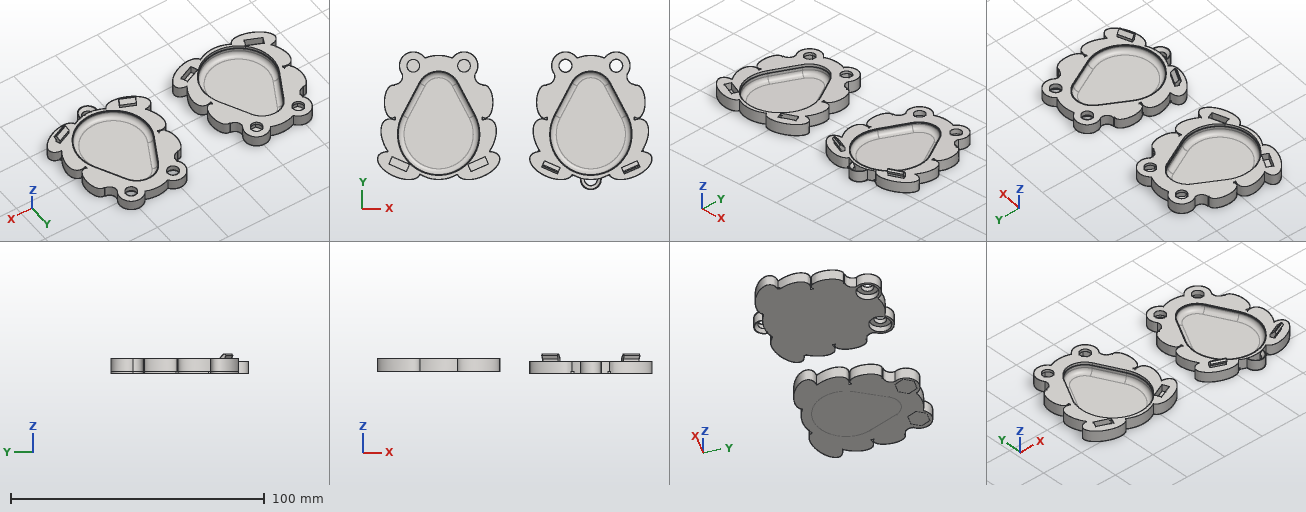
import cadquery as cq
import math

PLATE_SPACING = 60.0
CENTER_Y = -5.32
BASE_THICKNESS = 0.8
CLIP_SHELL_TOP = 4.8
SOCKET_SHELL_BOTTOM = BASE_THICKNESS
SOCKET_SHELL_TOP = 6.0
CLIP_TOP = 7.8

TORSO_RADIUS = 14.15
TORSO_TOP_Y = 17.0
TORSO_BOTTOM_Y = -3.75
FLANK_WIDTH = 34.4
FLANK_HEIGHT = 18.0
FLANK_Y = 8.0
EAR_X = 10.0
EAR_Y = 27.0
EAR_RADIUS = 5.5
NECK_X = 17.44
NECK_Y = 22.81
NECK_RADIUS = 3.16
NECK_BLOCK_DROP = 8.0
SHOULDER = (18.19, 12.86, 3.25, 6.5, 1.7)
HIP = (16.09, -2.86, 5.42, 9.76, -29.1)
FOOT = (15.67, -12.36, 9.0, 4.65, 23.6)

BASE_WEBS = (
    ((18.4, 6.2), (19.58, 6.87), (19.42, 6.06)),
    ((19.8, -6.9), (20.57, -5.94), (20.83, -6.87)),
    ((7.3, -15.6), (7.77, -16.53), (6.68, -16.23)),
)

EYE_DIAMETER = 5.0
EYE_POCKET_DIAMETER = 9.0
EYE_COUNTERBORE_DEPTH = 2.6
EYE_LIP = 1.2

POCKET_RADIUS = 16.25
POCKET_TOP_RADIUS = 8.7
POCKET_TOP_Y = 16.2
POCKET_LEDGE = 0.3
POCKET_FILLET = 2.3
CLIP_SHELL_LEDGE_DEPTH = 0.4
SOCKET_SHELL_LEDGE_DEPTH = 1.2
CLIP_SHELL_FLOOR = 1.6
SOCKET_SHELL_FLOOR = 1.2

LOOP_Y = -17.75
LOOP_RADIUS = 4.12
LOOP_HOLE_RADIUS = 2.5
LOOP_CHAMFER = 1.35

CLIP_TILT = FOOT[4]
CLIP_X = 15.2
CLIP_Y = -11.82
CLIP_LENGTH = 6.75
CLIP_ROOT = CLIP_SHELL_TOP - 1.0
CLIP_STEM = 1.9
CLIP_HOOK_REACH = 2.7
CLIP_HOOK_BOTTOM = 5.7
CLIP_HOOK_TIP = 7.1
CLIP_SLOPE_START = 6.1
CLIP_CREST_BACK = 1.65
CLIP_CREST_FRONT = 2.1
SOCKET_X = 15.55
SOCKET_Y = -11.8
SOCKET_LENGTH = 7.5
SOCKET_WIDTH = 3.15
SOCKET_DEPTH = 3.2


def disc(x, y, radius, height):
    return cq.Workplane("XY").center(x, y).circle(radius).extrude(height)


def lobe(side, shape, height):
    x, y, x_axis, y_axis, tilt = shape
    solid = cq.Workplane("XY").ellipse(x_axis, y_axis).extrude(height)
    return solid.rotate((0, 0, 0), (0, 0, 1), side * tilt).translate((side * x, y, 0))


def neck(side, height):
    """Block between ear, torso and shoulder, hollowed by a round notch."""
    low_y = NECK_Y - NECK_BLOCK_DROP
    corners = [(EAR_X, low_y), (NECK_X, low_y), (NECK_X, NECK_Y), (EAR_X, EAR_Y)]
    block = cq.Workplane("XY").polyline([(side * x, y) for x, y in corners]).close().extrude(height)
    return block.cut(disc(side * NECK_X, NECK_Y, NECK_RADIUS, height))


def frog(height):
    torso_length = TORSO_TOP_Y - TORSO_BOTTOM_Y
    torso_middle = (TORSO_TOP_Y + TORSO_BOTTOM_Y) / 2
    body = cq.Workplane("XY").center(0, torso_middle).rect(2 * TORSO_RADIUS, torso_length).extrude(height)
    body = body.union(cq.Workplane("XY").center(0, FLANK_Y).rect(FLANK_WIDTH, FLANK_HEIGHT).extrude(height))
    for y in (TORSO_TOP_Y, TORSO_BOTTOM_Y):
        body = body.union(disc(0, y, TORSO_RADIUS, height))
    for side in (-1, 1):
        body = body.union(neck(side, height))
        body = body.union(disc(side * EAR_X, EAR_Y, EAR_RADIUS, height))
        for shape in (SHOULDER, HIP, FOOT):
            body = body.union(lobe(side, shape, height))
    return body.clean()


def egg(inset, bottom, top):
    """Egg shaped tool: two circles joined by their common tangents."""
    low_radius = POCKET_RADIUS - inset
    high_radius = POCKET_TOP_RADIUS - inset
    lean = math.asin((low_radius - high_radius) / POCKET_TOP_Y)
    low = (low_radius * math.cos(lean), low_radius * math.sin(lean))
    high = (high_radius * math.cos(lean), POCKET_TOP_Y + high_radius * math.sin(lean))
    return (
        cq.Workplane("XY").workplane(offset=bottom)
        .moveTo(*low).lineTo(*high)
        .threePointArc((0, POCKET_TOP_Y + high_radius), (-high[0], high[1]))
        .lineTo(-low[0], low[1])
        .threePointArc((0, -low_radius), low)
        .close().extrude(top - bottom)
    )


def belly_pocket(floor, top, ledge_depth):
    """Pocket with a rounded floor edge and a narrow ledge below its rim."""
    pocket = egg(POCKET_LEDGE, floor, top).faces("<Z").edges().fillet(POCKET_FILLET)
    return pocket.union(egg(0, top - ledge_depth, top))


def at_eyes(bottom):
    return cq.Workplane("XY").workplane(offset=bottom).pushPoints([(-EAR_X, EAR_Y), (EAR_X, EAR_Y)])


def eye_holes(bottom, top):
    return at_eyes(bottom).circle(EYE_DIAMETER / 2).extrude(top - bottom)


def base_web(side, corners):
    points = [(side * x, y) for x, y in corners]
    return cq.Workplane("XY").polyline(points).close().extrude(BASE_THICKNESS)


def key_loop():
    """Ring whose hole is widened by a chamfer at both ends."""
    hole = disc(0, LOOP_Y, LOOP_HOLE_RADIUS, CLIP_SHELL_TOP)
    ring = disc(0, LOOP_Y, LOOP_RADIUS, CLIP_SHELL_TOP).cut(hole)
    hole_edges = ring.edges("%CIRCLE").edges(cq.selectors.RadiusNthSelector(0))
    return hole_edges.chamfer(LOOP_CHAMFER)


def on_foot(side, solid, x, y):
    """Places a solid built along X on the foot of one side."""
    return solid.rotate((0, 0, 0), (0, 0, 1), side * CLIP_TILT).translate((side * x, y, 0))


def clip():
    """Hooked bar, its hook pointing to -Y."""
    profile = [
        (0, CLIP_ROOT),
        (0, CLIP_SLOPE_START),
        (-CLIP_CREST_BACK, CLIP_TOP),
        (-CLIP_CREST_FRONT, CLIP_TOP),
        (-CLIP_HOOK_REACH, CLIP_HOOK_TIP),
        (-CLIP_STEM, CLIP_HOOK_BOTTOM),
        (-CLIP_STEM, CLIP_ROOT),
    ]
    return cq.Workplane("YZ").polyline(profile).close().extrude(CLIP_LENGTH / 2, both=True)


def clip_slot():
    slot_floor = cq.Workplane("XY").workplane(offset=SOCKET_SHELL_TOP - SOCKET_DEPTH)
    return slot_floor.rect(SOCKET_LENGTH, SOCKET_WIDTH).extrude(SOCKET_DEPTH)


def make_socket_shell():
    shell = frog(SOCKET_SHELL_TOP - SOCKET_SHELL_BOTTOM).translate((0, 0, SOCKET_SHELL_BOTTOM))
    shell = shell.cut(belly_pocket(SOCKET_SHELL_FLOOR, SOCKET_SHELL_TOP, SOCKET_SHELL_LEDGE_DEPTH))
    shell = shell.cut(eye_holes(SOCKET_SHELL_FLOOR, SOCKET_SHELL_TOP))
    hexagon_height = SOCKET_SHELL_TOP - EYE_LIP - SOCKET_SHELL_FLOOR
    shell = shell.cut(at_eyes(SOCKET_SHELL_FLOOR).polygon(6, EYE_POCKET_DIAMETER).extrude(hexagon_height))
    for side in (-1, 1):
        shell = shell.cut(on_foot(side, clip_slot(), SOCKET_X, SOCKET_Y))
    return shell


def make_clip_shell():
    shell = frog(CLIP_SHELL_TOP).union(key_loop())
    for side in (-1, 1):
        for corners in BASE_WEBS:
            shell = shell.union(base_web(side, corners))
    shell = shell.cut(belly_pocket(CLIP_SHELL_FLOOR, CLIP_SHELL_TOP, CLIP_SHELL_LEDGE_DEPTH))
    shell = shell.cut(eye_holes(0, CLIP_SHELL_TOP))
    shell = shell.cut(at_eyes(0).circle(EYE_POCKET_DIAMETER / 2).extrude(EYE_COUNTERBORE_DEPTH))
    for side in (-1, 1):
        shell = shell.union(on_foot(side, clip(), CLIP_X, CLIP_Y))
    return shell


socket_shell = make_socket_shell().translate((-PLATE_SPACING / 2, CENTER_Y, 0))
clip_shell = make_clip_shell().translate((PLATE_SPACING / 2, CENTER_Y, 0))
result = cq.Compound.makeCompound([socket_shell.val(), clip_shell.val()])